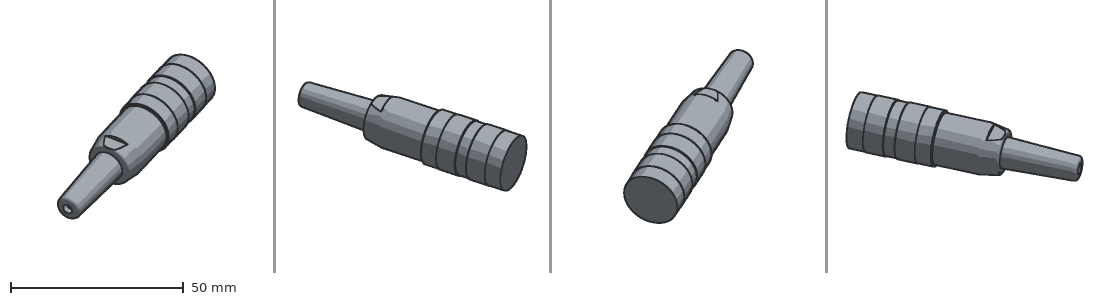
import cadquery as cq

length = 68.5
first_band_start = 5.1
band_length = 6.0
groove_width = 3.8
sleeve_length = 26.1
cone_start = 39.8
flat_start = 41.25
shoulder_end = 45.7

sleeve_diameter = 16.8
band_diameter = 17.0
groove_diameter = 16.6
body_diameter = 15.55
shoulder_diameter = 13.4
stem_root_diameter = 9.4
stem_tip_diameter = 7.5
tip_hole_diameter = 3.0

sleeve_chamfer = 0.35
groove_wall_run = 0.2
shoulder_fillet = 0.9
tip_fillet = 1.1
flat_distance = 13
tip_hole_depth = 2.05

groove_start = first_band_start + band_length
second_band_start = groove_start + groove_width
second_band_end = second_band_start + band_length


def section(start, end, diameter, end_diameter=None):
    """Round section between two stations, tapering when an end diameter is given."""
    end_radius = (end_diameter or diameter) / 2
    outline = (
        cq.Workplane("XY")
        .moveTo(0, -start)
        .lineTo(diameter / 2, -start)
        .lineTo(end_radius, -end)
        .lineTo(0, -end)
        .close()
    )
    return outline.revolve(360, (0, 0, 0), (0, 1, 0))


def grip_sleeve():
    """Back sleeve with two raised bands and a shallow groove between them."""
    sleeve = section(0, sleeve_length, sleeve_diameter).faces("<Y").chamfer(sleeve_chamfer)
    first_band = section(first_band_start, groove_start, band_diameter)
    second_band = section(second_band_start, second_band_end, band_diameter)
    sleeve = sleeve.union(first_band).union(second_band)
    groove_floor_start = groove_start + groove_wall_run
    groove_floor_end = second_band_start - groove_wall_run
    groove_floor = section(groove_floor_start, groove_floor_end, groove_diameter)
    back_wall = section(groove_start, groove_floor_start, band_diameter, groove_diameter)
    front_wall = section(groove_floor_end, second_band_start, groove_diameter, band_diameter)
    groove_band = section(groove_start, second_band_start, band_diameter)
    return sleeve.cut(groove_band).union(back_wall).union(groove_floor).union(front_wall)


def shoulder():
    """Straight body and rounded cone with two opposite wrench flats."""
    cone = section(cone_start, shoulder_end, body_diameter, shoulder_diameter)
    cone = cone.faces("<Y").edges().fillet(shoulder_fillet)
    flat_length = shoulder_end - flat_start
    flat_cut_height = (body_diameter - flat_distance) / 2
    for side in (-1, 1):
        flat_cut = cq.Workplane("XY").box(body_diameter, flat_length, flat_cut_height)
        cone = cone.cut(
            flat_cut.translate(
                (0, -flat_start - flat_length / 2, side * (flat_distance + flat_cut_height) / 2)
            )
        )
    return section(sleeve_length, cone_start, body_diameter).union(cone)


def stem():
    """Tapered front stem with a rounded tip and a blind axial hole."""
    taper = section(shoulder_end, length, stem_root_diameter, stem_tip_diameter)
    taper = taper.faces("<Y").edges().fillet(tip_fillet)
    return taper.cut(section(length - tip_hole_depth, length, tip_hole_diameter))


result = grip_sleeve().union(shoulder()).union(stem())
result = result.translate((0, length / 2, 0))